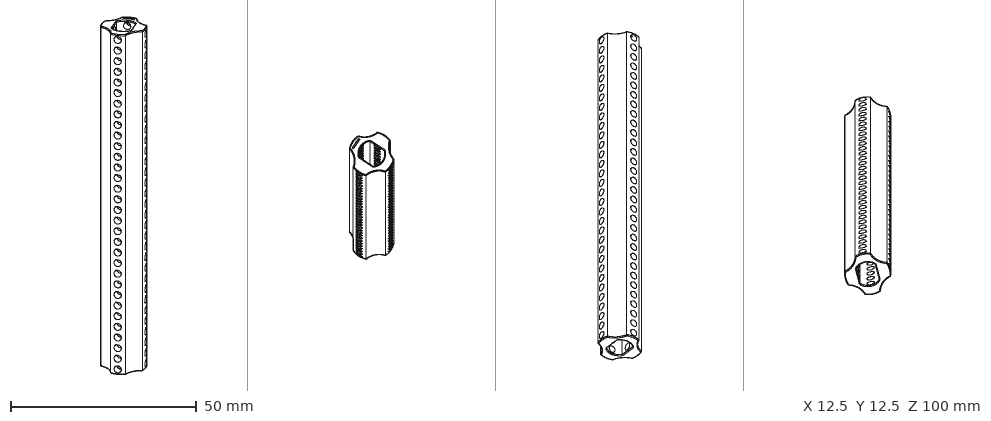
import cadquery as cq
import math

length = 100.0
outer_diameter = 12.5
outer_radius = outer_diameter / 2

lobe_count = 4
lobe_half_width = 2.12
lobe_edge_reach = 5.84
flute_floor_radius = 4.92

bore_diameter = 7.0
bore_flat_width = 5.25

end_chamfer = 0.25

hole_diameter = 2.0
hole_count = 32
hole_pitch = length / hole_count
first_hole_z = hole_pitch / 2

mark_length = 3.0
mark_width = 0.4
mark_depth = 0.3
mark_center_y = 5.1


def polar(radius, angle):
    """Point at the given distance and angle (radians) from the axis."""
    return (radius * math.cos(angle), radius * math.sin(angle))


def lobed_bar():
    """Bar whose outline alternates lobe arcs and concave flute arcs."""
    lobe_edge_radius = math.hypot(lobe_edge_reach, lobe_half_width)
    half_lobe = math.atan2(lobe_half_width, lobe_edge_reach)
    lobe_spacing = 2 * math.pi / lobe_count
    outline = cq.Workplane("XY").moveTo(*polar(lobe_edge_radius, -half_lobe))
    for i in range(lobe_count):
        lobe = i * lobe_spacing
        flute = lobe + lobe_spacing / 2
        lobe_end = polar(lobe_edge_radius, lobe + half_lobe)
        next_lobe_start = polar(lobe_edge_radius, lobe + lobe_spacing - half_lobe)
        outline = outline.threePointArc(polar(outer_radius, lobe), lobe_end)
        outline = outline.threePointArc(polar(flute_floor_radius, flute), next_lobe_start)
    return outline.close().extrude(length)


def flatted_bore():
    """Cutter for the bore: a cylinder trimmed by two parallel flats."""
    cylinder = cq.Workplane("XY").circle(bore_diameter / 2).extrude(length)
    flats = cq.Workplane("XY").rect(bore_flat_width, bore_diameter).extrude(length)
    return cylinder.intersect(flats)


def cross_holes(plane):
    """Cutter for one row of holes passing through two opposite lobes."""
    centers = [(0, first_hole_z + i * hole_pitch) for i in range(hole_count)]
    row = cq.Workplane(plane).pushPoints(centers).circle(hole_diameter / 2)
    return row.extrude(outer_radius, both=True)


def mark_recess():
    """Cutter for the shallow recess in the top face."""
    floor = cq.Workplane("XY").workplane(offset=length - mark_depth)
    return floor.center(0, mark_center_y).rect(mark_length, mark_width).extrude(mark_depth)


result = lobed_bar().cut(flatted_bore())
result = result.faces("<Z or >Z").edges().chamfer(end_chamfer)
for hole_plane in ("XZ", "YZ"):
    result = result.cut(cross_holes(hole_plane))
result = result.cut(mark_recess())